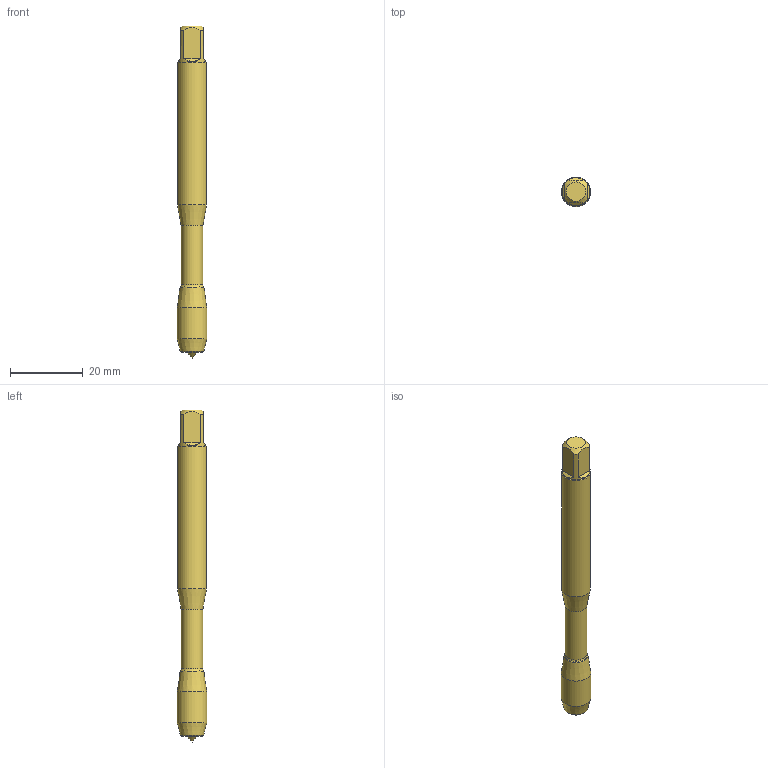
import cadquery as cq
import math


point_height = 1.6
point_radius = point_height
rim_chamfer = 0.3
lead_end_radius = 3.25
lead_length = 3.75
head_radius = 8.16 / 2
head_cylinder_top = 12.25
head_length = 17.95
head_top_radius = 3.28

neck_radius = 6.0 / 2
neck_foot_radius = 3.12
lower_foot_height = 0.25
upper_foot_height = 0.4
neck_top = 34.95
shank_cone_angle = 10.0

overall_length = 91.55
shank_end = overall_length - point_height
shank_radius = 8.0 / 2
full_shank_top = shank_end - 10.0
square_width = 6.2
square_length = 9.0
square_corner_radius = 7.68 / 2
square_top_radius = 2.66
flat_count = 4


def revolve_profile(points):
    """Turn a closed outline of (radius, height) points around the Z axis."""
    return cq.Workplane("XZ").polyline(points).close().revolve(360, (0, 0, 0), (0, 1, 0))


def make_threading_head():
    """Centre point, tapered lead, cylinder and back taper."""
    return revolve_profile([
        (0, -point_height),
        (point_radius, 0),
        (lead_end_radius - rim_chamfer, 0),
        (lead_end_radius, rim_chamfer),
        (head_radius, lead_length),
        (head_radius, head_cylinder_top),
        (head_top_radius, head_length),
        (0, head_length),
    ])


def make_turned_shank():
    """Neck, shank and round blank of the drive square, resting on the head."""
    neck_foot = head_length + lower_foot_height
    neck_bottom = neck_foot + upper_foot_height
    shank_cone_height = (shank_radius - neck_radius) / math.tan(math.radians(shank_cone_angle))
    shank_chamfer = shank_radius - square_corner_radius
    square_chamfer = square_corner_radius - square_top_radius
    return revolve_profile([
        (0, head_length),
        (head_top_radius, head_length),
        (neck_foot_radius, neck_foot),
        (neck_radius, neck_bottom),
        (neck_radius, neck_top),
        (shank_radius, neck_top + shank_cone_height),
        (shank_radius, full_shank_top),
        (square_corner_radius, full_shank_top + shank_chamfer),
        (square_corner_radius, shank_end - square_chamfer),
        (square_top_radius, shank_end),
        (0, shank_end),
    ])


def make_flat_cutter():
    """Material outside one flat of the square, with a 45 degree run-out at its lower end."""
    flat = square_width / 2
    flat_bottom = shank_end - square_length
    run_out = shank_radius
    profile = [
        (flat, flat_bottom),
        (flat + run_out, flat_bottom - run_out),
        (flat + run_out, shank_end),
        (flat, shank_end),
    ]
    return cq.Workplane("XZ").polyline(profile).close().extrude(shank_radius, both=True)


def make_shank():
    """Turned shank with the flats of the drive square cut into its end."""
    shank = make_turned_shank()
    flat_cutter = make_flat_cutter()
    for side in range(flat_count):
        angle = side * 360 / flat_count
        shank = shank.cut(flat_cutter.rotate((0, 0, 0), (0, 0, 1), angle))
    return shank


threading_head = make_threading_head()
shank = make_shank()

result = cq.Compound.makeCompound([threading_head.val(), shank.val()])